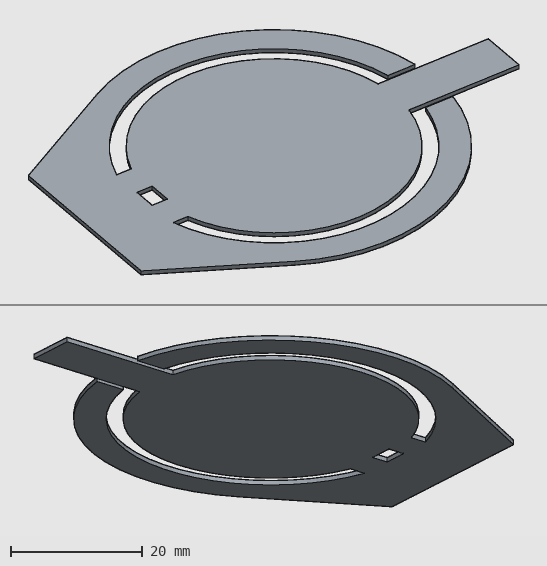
import cadquery as cq
import math

thickness = 0.75
total_length = 77.5
ring_radius = 30.0
slot_outer_radius = 25.0
disc_radius = 22.5

base_width = ring_radius
base_depth = 35.0
tab_reach = total_length - base_depth
tab_width = 8.2
ring_gap_width = 10.0
hinge_width = 15.0

window_width = 4.0
window_height = 2.8
window_top = -21.15


def disc(radius):
    return cq.Workplane("XY").circle(radius).extrude(thickness)


def centred_bar(width, bottom, top):
    """Rectangular plate centred on X, between two Y positions."""
    bar = cq.Workplane("XY").rect(width, top - bottom).extrude(thickness)
    return bar.translate((0, (top + bottom) / 2, 0))


def outer_plate():
    """Round plate whose sides run tangentially to the corners of the base."""
    corner_x = base_width / 2
    corner_distance = math.hypot(corner_x, base_depth)
    corner_angle = math.atan2(-base_depth, corner_x)
    tangent_angle = corner_angle + math.acos(ring_radius / corner_distance)
    tangent_x = ring_radius * math.cos(tangent_angle)
    tangent_y = ring_radius * math.sin(tangent_angle)
    return (
        cq.Workplane("XY")
        .moveTo(-corner_x, -base_depth)
        .lineTo(corner_x, -base_depth)
        .lineTo(tangent_x, tangent_y)
        .threePointArc((0, ring_radius), (-tangent_x, tangent_y))
        .close()
        .extrude(thickness)
    )


slot = disc(slot_outer_radius).cut(disc(disc_radius))
slot = slot.cut(centred_bar(hinge_width, -base_depth, 0))

ring_gap = centred_bar(ring_gap_width, 0, tab_reach).cut(disc(disc_radius))

tab = centred_bar(tab_width, 0, tab_reach)
window = centred_bar(window_width, window_top - window_height, window_top)

result = outer_plate().cut(slot).cut(ring_gap).union(tab).cut(window)